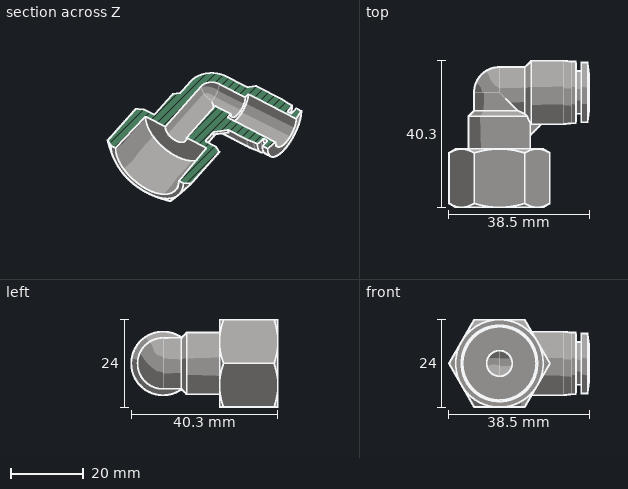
import cadquery as cq
import math


elbow_radius = 7.0
passage_radius = 3.5

collar_radius = 8.5
collar_chamfer = collar_radius - elbow_radius
collar_start = 5.0

hex_flats = 24.0
hex_corners = hex_flats / math.cos(math.radians(30))
hex_length = 16.0
hex_start = 15.5
hex_end = hex_start + hex_length
hex_chamfer_angle = 30.0
thread_mouth_radius = 10.478
thread_taper = 1 / 16
thread_depth = 14.0
thread_bottom_radius = thread_mouth_radius - thread_depth * thread_taper / 2

sleeve_radius = 8.75
sleeve_chamfer = sleeve_radius - elbow_radius
sleeve_start = 7.0
sleeve_taper_start = 17.55
sleeve_taper_end = 19.7
sleeve_end_radius = 8.5
sleeve_end = 20.93
sleeve_face_radius = 7.0

collet_neck_radius = 5.9
collet_radius = 8.25
collet_start = 22.4
collet_end = 24.6
tube_radius = 5.0
end_cone_slope = 0.13
collet_rim = collet_end - (collet_radius - tube_radius) * end_cone_slope
sleeve_face = sleeve_end + (sleeve_end_radius - sleeve_face_radius) * end_cone_slope
tube_socket_start = sleeve_start + sleeve_chamfer

web_thickness = 2.0
web_leg = 20.2


def turned_inlet(profile):
    """Revolve (radius, distance) points about the Y axis, distance running toward -Y."""
    points = [(radius, -distance) for radius, distance in profile]
    return cq.Workplane("XY").polyline(points).close().revolve(360, (0, 0), (0, 1))


def turned_outlet(profile):
    """Revolve (radius, distance) points about the X axis, distance running toward +X."""
    points = [(distance, radius) for radius, distance in profile]
    return cq.Workplane("XY").polyline(points).close().revolve(360, (0, 0), (1, 0))


def inlet_body():
    return turned_inlet([
        (0, 0),
        (elbow_radius, 0),
        (elbow_radius, collar_start),
        (collar_radius, collar_start + collar_chamfer),
        (collar_radius, hex_start),
        (0, hex_start),
    ])


def hex_nut():
    prism = (
        cq.Workplane("XZ", origin=(0, -hex_start, 0))
        .polygon(6, hex_corners)
        .extrude(hex_length)
    )
    flat_radius = hex_flats / 2
    corner_radius = hex_corners / 2
    chamfer_height = (corner_radius - flat_radius) * math.tan(math.radians(hex_chamfer_angle))
    envelope = turned_inlet([
        (0, hex_start),
        (flat_radius, hex_start),
        (corner_radius, hex_start + chamfer_height),
        (corner_radius, hex_end - chamfer_height),
        (flat_radius, hex_end),
        (0, hex_end),
    ])
    return prism.intersect(envelope)


def outlet_body():
    return turned_outlet([
        (0, 0),
        (elbow_radius, 0),
        (elbow_radius, sleeve_start),
        (sleeve_radius, sleeve_start + sleeve_chamfer),
        (sleeve_radius, sleeve_taper_start),
        (sleeve_end_radius, sleeve_taper_end),
        (sleeve_end_radius, sleeve_end),
        (sleeve_face_radius, sleeve_face),
        (collet_neck_radius, sleeve_face),
        (collet_neck_radius, collet_start),
        (collet_radius, collet_start),
        (collet_radius, collet_rim),
        (tube_radius, collet_end),
        (0, collet_end),
    ])


def corner_web():
    return (
        cq.Workplane("XY")
        .polyline([(0, 0), (web_leg, 0), (0, -web_leg)])
        .close()
        .extrude(web_thickness / 2, both=True)
    )


def inlet_bore():
    thread_bottom = hex_end - thread_depth
    return turned_inlet([
        (0, 0),
        (passage_radius, 0),
        (passage_radius, thread_bottom),
        (thread_bottom_radius, thread_bottom),
        (thread_mouth_radius, hex_end),
        (0, hex_end),
    ])


def outlet_bore():
    return turned_outlet([
        (0, 0),
        (passage_radius, 0),
        (passage_radius, tube_socket_start),
        (tube_radius, tube_socket_start),
        (tube_radius, collet_end),
        (0, collet_end),
    ])


def ball(radius):
    return cq.Workplane("XY").sphere(radius)


body = inlet_body().union(outlet_body()).union(ball(elbow_radius))
body = body.union(hex_nut()).union(corner_web())
cavity = inlet_bore().union(outlet_bore()).union(ball(passage_radius))
result = body.cut(cavity)